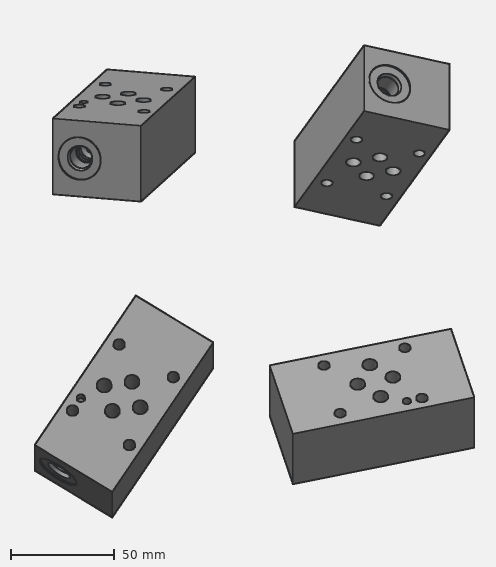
import cadquery as cq

width = 44.4
length = 90.5
height = 38.1
top_z = height / 2
front_y = -length / 2

flow_diameter = 7.15
flow_centre_y = -1.6
flow_offset_x = 10.3
flow_offset_y = 8.8
flow_points = [
    (flow_offset_x, flow_centre_y),
    (-flow_offset_x, flow_centre_y),
    (0, flow_centre_y + flow_offset_y),
    (0, flow_centre_y - flow_offset_y),
]

bolt_diameter = 5.5
rear_bolt_x = 15.5
rear_bolt_y = 19.9
front_bolt_x = 16.3
front_bolt_y = -20.6
bolt_points = [
    (rear_bolt_x, rear_bolt_y),
    (-rear_bolt_x, rear_bolt_y),
    (front_bolt_x, front_bolt_y),
    (-front_bolt_x, front_bolt_y),
]

pin_diameter = 4.0
pin_x = -front_bolt_x
pin_y = -13.1
pin_depth = 6.0
pin_point_depth = 1.2

port_x = -8.8
spotface_diameter = 21.3
spotface_depth = 0.8
seal_mouth_diameter = 12.4
seal_root_diameter = 11.2
seal_end = 3.0
thread_diameter = 11.1
thread_end = 12.7
tap_diameter = 9.9
tap_end = 15.4
drill_diameter = 9.5
drill_end = 18.1
drill_point_end = 19.5
pilot_diameter = 4.8
pilot_end = 27.15
pilot_tip = 28.5


def revolved_cutter(profile, plane, axis_end):
    """Revolve a closed (radius, depth) profile about its depth axis."""
    return cq.Workplane(plane).polyline(profile).close().revolve(360, (0, 0), axis_end)


def pin_hole():
    radius = pin_diameter / 2
    profile = [(0, 0), (radius, 0), (radius, -pin_depth), (0, -pin_depth - pin_point_depth)]
    cutter = revolved_cutter(profile, "XZ", (0, 1))
    return cutter.translate((pin_x, pin_y, top_z))


def front_port():
    profile = [
        (0, 0),
        (spotface_diameter / 2, 0),
        (spotface_diameter / 2, spotface_depth),
        (seal_mouth_diameter / 2, spotface_depth),
        (seal_root_diameter / 2, seal_end),
        (thread_diameter / 2, seal_end),
        (thread_diameter / 2, thread_end),
        (tap_diameter / 2, thread_end),
        (tap_diameter / 2, tap_end),
        (drill_diameter / 2, tap_end),
        (drill_diameter / 2, drill_end),
        (pilot_diameter / 2, drill_point_end),
        (pilot_diameter / 2, pilot_end),
        (0, pilot_tip),
    ]
    cutter = revolved_cutter(profile, "XY", (0, 1))
    return cutter.translate((port_x, front_y, 0))


def drilled_through(body, points, diameter):
    """Drill vertical through holes at the given (x, y) points."""
    top = body.faces(">Z").workplane(origin=(0, 0, top_z))
    return top.pushPoints(points).hole(diameter)


block = cq.Workplane("XY").box(width, length, height)
block = drilled_through(block, flow_points, flow_diameter)
block = drilled_through(block, bolt_points, bolt_diameter)
result = block.cut(pin_hole()).cut(front_port())